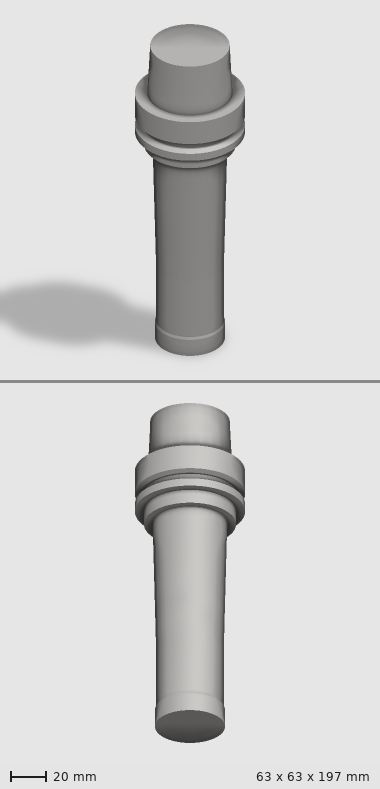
import cadquery as cq

shank_length = 32.0
gauge_diameter = 48.0
gauge_height = 6.3
taper_rate = 1 / 9.98

flange_diameter = 63.0
flange_width = 26.0
groove_root_diameter = 55.0
groove_centre_depth = 18.05
groove_shoulder_diameter = 57.6
groove_root_width = 3.6
groove_mouth_width = 6.6

collar_diameter = 52.6
collar_bottom_depth = 34.3

neck_top_diameter = 42.7
neck_root_bevel = 0.45
body_diameter = 38.8
body_top_depth = 115.0
nose_diameter = 40.0
nose_shoulder_top_depth = 152.6
nose_shoulder_bottom_depth = 154.2
nose_bottom_depth = 165.0


def revolve_profile(stations):
    """Solid of revolution about Z through (diameter, height) stations, closed along the axis."""
    points = [(diameter / 2, height) for diameter, height in stations]
    first_height = stations[0][1]
    last_height = stations[-1][1]
    outline = [(0, first_height)] + points + [(0, last_height)]
    return cq.Workplane("XZ").polyline(outline).close().revolve(360, (0, 0, 0), (0, 1, 0))


def shank_diameter(height):
    return gauge_diameter + (gauge_height - height) * taper_rate


def make_shank():
    return revolve_profile([
        (shank_diameter(0), 0),
        (shank_diameter(shank_length), shank_length),
    ])


def make_flange():
    groove_top = -groove_centre_depth + groove_mouth_width / 2
    root_top = -groove_centre_depth + groove_root_width / 2
    root_bottom = root_top - groove_root_width
    groove_bottom = groove_top - groove_mouth_width
    return revolve_profile([
        (flange_diameter, 0),
        (flange_diameter, groove_top),
        (groove_shoulder_diameter, root_top),
        (groove_root_diameter, root_top),
        (groove_root_diameter, root_bottom),
        (groove_shoulder_diameter, root_bottom),
        (flange_diameter, groove_bottom),
        (flange_diameter, -flange_width),
    ])


def make_body():
    return revolve_profile([
        (collar_diameter, -flange_width),
        (collar_diameter, -collar_bottom_depth),
        (neck_top_diameter + 2 * neck_root_bevel, -collar_bottom_depth),
        (neck_top_diameter, -collar_bottom_depth - neck_root_bevel),
        (body_diameter, -body_top_depth),
        (body_diameter, -nose_shoulder_top_depth),
        (nose_diameter, -nose_shoulder_bottom_depth),
        (nose_diameter, -nose_bottom_depth),
    ])


result = make_flange().union(make_shank()).union(make_body())